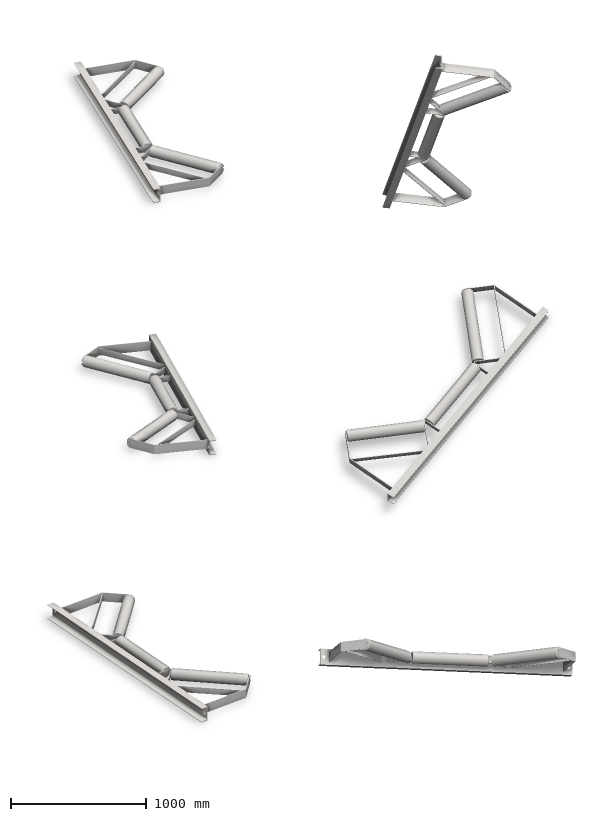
import cadquery as cq
import math

beam_length = 1900.0
beam_height = 120.0
flange_width = 55.0
web_thickness = 7.0
flange_thickness = 9.0
flange_slope = 0.08
root_radius = 9.0
toe_radius = 4.5
mount_slot_width = 18.0
mount_slot_length = 28.0
mount_slot_inset = 27.0

roller_diameter = 90.0
roller_length = 572.0
roller_edge_radius = 5.0
shaft_diameter = 20.0
shaft_flat_width = 17.0
middle_axis_y = 115.0

strip_thickness = 5.0
wide_strip = 75.0
narrow_strip = 50.0
bend_inner_radius = 5.0
support_spacing = 587.0
wing_angle = 45.0
wing_axis_height = 125.0
inner_apex_y = 155.0
outer_post_x = 882.0

brace_foot_x = 492.0

inner_post_x = support_spacing / 2
wing_dir = cq.Vector(-math.cos(math.radians(wing_angle)), math.sin(math.radians(wing_angle)))
leg_dir = cq.Vector(wing_dir.y, -wing_dir.x)
leg_slope = leg_dir.y / leg_dir.x
inner_apex = cq.Vector(-inner_post_x, inner_apex_y)
inner_foot = cq.Vector(-inner_post_x - inner_apex_y / leg_slope, 0)
wing_low_point = inner_apex - leg_dir * ((inner_apex_y - wing_axis_height) / leg_dir.y)
wing_high_point = wing_low_point + wing_dir * support_spacing
outer_bend = wing_high_point - leg_dir * ((wing_high_point.x + outer_post_x) / leg_dir.x)
wing_middle = (wing_low_point + wing_high_point) * 0.5
middle_roller_centre = cq.Vector(0, middle_axis_y)


def plate(start, end, width):
    """Flat strip standing parallel to Z, centred on the line from start to end."""
    run = end - start
    angle = math.degrees(math.atan2(run.y, run.x))
    centre = (start + end) * 0.5
    return (
        cq.Workplane("XY")
        .box(run.Length, strip_thickness, width)
        .rotate((0, 0, 0), (0, 0, 1), angle)
        .translate(centre.toTuple())
    )


def nearest_to(point):
    return cq.selectors.NearestToPointSelector(point.toTuple())


def bent_strip(points, width):
    """Strip of constant thickness along three points, bent round at the middle one."""
    start, bend, end = points
    first = (bend - start).normalized()
    second = (end - bend).normalized()
    half = strip_thickness / 2
    first_side = cq.Vector(-first.y, first.x) * half
    second_side = cq.Vector(-second.y, second.x) * half
    mitre = (first_side + second_side) * (1 / (1 + first.dot(second)))
    outline = [
        start + first_side,
        bend + mitre,
        end + second_side,
        end - second_side,
        bend - mitre,
        start - first_side,
    ]
    strip = (
        cq.Workplane("XY", origin=(0, 0, -width / 2))
        .polyline([(p.x, p.y) for p in outline])
        .close()
        .extrude(width)
    )
    turns_right = first.cross(second).z < 0
    outer_corner = bend + mitre if turns_right else bend - mitre
    inner_corner = bend - mitre if turns_right else bend + mitre
    strip = strip.edges(nearest_to(outer_corner)).fillet(bend_inner_radius + strip_thickness)
    return strip.edges(nearest_to(inner_corner)).fillet(bend_inner_radius)


def above_beam(body):
    """Trim a body to the web face of the beam."""
    keep = cq.Workplane("XY").box(beam_length, beam_length, beam_length).translate((0, beam_length / 2, 0))
    return body.intersect(keep)


def mirrored(body):
    return body.mirror("YZ")


def place_along_axis(body, centre, direction):
    """Turn a body from the X axis to a direction in the XY plane and move it."""
    angle = math.degrees(math.atan2(direction.y, direction.x))
    return body.rotate((0, 0, 0), (0, 0, 1), angle).translate(centre.toTuple())


def cylinder(diameter, length):
    """Cylinder on the X axis, centred on the origin."""
    return cq.Workplane("YZ", origin=(-length / 2, 0, 0)).circle(diameter / 2).extrude(length)


def make_shaft():
    """Shaft with two flats, reaching the outer faces of its supports."""
    length = support_spacing + strip_thickness
    flats = cq.Workplane("XY").box(length, shaft_diameter, shaft_flat_width)
    return cylinder(shaft_diameter, length).intersect(flats)


def make_roller(centre, direction):
    shell = cylinder(roller_diameter, roller_length).edges("%CIRCLE").fillet(roller_edge_radius)
    return place_along_axis(shell.union(make_shaft()), centre, direction)


def make_beam():
    half_height = beam_height / 2
    half_rise = flange_slope * flange_width / 2
    toe_z = half_height - flange_thickness + half_rise
    root_z = toe_z - flange_slope * (flange_width - web_thickness)
    profile = [
        (0, -half_height),
        (0, half_height),
        (-flange_width, half_height),
        (-flange_width, toe_z),
        (-web_thickness, root_z),
        (-web_thickness, -root_z),
        (-flange_width, -toe_z),
        (-flange_width, -half_height),
    ]
    end_plane = cq.Workplane("YZ", origin=(-beam_length / 2, 0, 0))
    beam = end_plane.polyline(profile).close().extrude(beam_length)
    for side in (1, -1):
        beam = beam.edges(nearest_to(cq.Vector(0, -web_thickness, side * root_z))).fillet(root_radius)
        beam = beam.edges(nearest_to(cq.Vector(0, -flange_width, side * toe_z))).fillet(toe_radius)
    slot_x = beam_length / 2 - mount_slot_inset
    slots = (
        cq.Workplane("XZ")
        .pushPoints([(-slot_x, 0), (slot_x, 0)])
        .slot2D(mount_slot_length, mount_slot_width, angle=90)
        .extrude(flange_width)
    )
    return beam.cut(slots)


def make_inner_bracket():
    """Inverted V carrying the middle roller on its post and the wing roller on its leg."""
    post_foot = cq.Vector(-inner_post_x, 0)
    leg_end = inner_foot - leg_dir * strip_thickness
    bracket = above_beam(bent_strip([post_foot, inner_apex, leg_end], narrow_strip))
    shaft = make_shaft()
    bracket = bracket.cut(place_along_axis(shaft, middle_roller_centre, cq.Vector(1, 0)))
    return bracket.cut(place_along_axis(shaft, wing_middle, wing_dir))


def make_outer_bracket():
    """Post bent into a leg that ends in a round tip with an open shaft slot."""
    tip_radius = wide_strip / 2
    post_foot = cq.Vector(-outer_post_x, 0)
    bracket = bent_strip([post_foot, outer_bend, wing_high_point], wide_strip)
    tip = cylinder(wide_strip, strip_thickness)
    bracket = bracket.union(place_along_axis(tip, wing_high_point, wing_dir))
    slot_length = shaft_diameter / 2 + tip_radius
    slot = (
        cq.Workplane("XY")
        .box(2 * strip_thickness, slot_length, shaft_flat_width)
        .translate((0, shaft_diameter / 2 - slot_length / 2, 0))
    )
    return bracket.cut(place_along_axis(slot, wing_high_point, wing_dir))


def make_brace(outer_bracket):
    foot = cq.Vector(-brace_foot_x, 0)
    run = (foot - outer_bend).normalized()
    brace = plate(outer_bend, foot + run * strip_thickness, narrow_strip)
    return above_beam(brace).cut(outer_bracket)


beam = make_beam()
middle_roller = make_roller(middle_roller_centre, cq.Vector(1, 0))
wing_roller = make_roller(wing_middle, wing_dir)
inner_bracket = make_inner_bracket()
outer_bracket = make_outer_bracket()
brace = make_brace(outer_bracket)

bodies = [beam.val(), middle_roller.val()]
for body in (wing_roller, inner_bracket, outer_bracket, brace):
    bodies.append(body.val())
    bodies.append(mirrored(body).val())

result = cq.Compound.makeCompound(bodies)